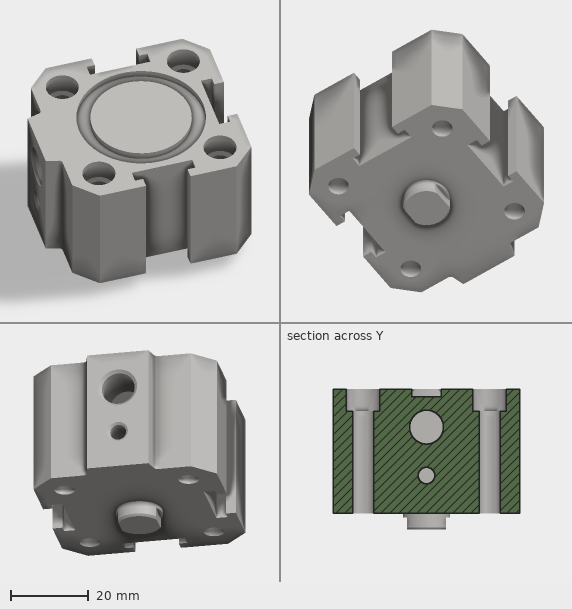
import cadquery as cq
import math

BODY_WIDTH = 48.0
BODY_HEIGHT = 32.0
CORNER_CHAMFER = 5.65

OVERALL_DEPTH = 52
BOSS_DEPTH = OVERALL_DEPTH - BODY_WIDTH
BOSS_FACE_WIDTH = 16.0
BOSS_DRAFT_ANGLE = 15
BOSS_FILLET = 1.0

SLOT_MOUTH_WIDTH = 11.9
SLOT_INNER_WIDTH = 16.2
SLOT_LIP = 2.6
SLOT_DEPTH = 5.5

MOUNT_SPACING = 32.45
MOUNT_DIAMETER = 5.3
COUNTERBORE_DIAMETER = 8.5
COUNTERBORE_DEPTH = 5.6

RECESS_OUTER_DIAMETER = 33.3
RECESS_INNER_DIAMETER = 26
RECESS_DEPTH = 2.0

PORT_END_OFFSET = 9.8
LARGE_PORT_DIAMETER = 8.6
LARGE_PORT_CHAMFER = 0.8
SMALL_PORT_DIAMETER = 4.15
SMALL_PORT_CHAMFER = 0.55
PORT_DEPTH = 12.0

ROD_DIAMETER = 12.0
ROD_PROTRUSION = 4.0
ROD_SEAT_DEPTH = BODY_HEIGHT / 2
ROD_TIP_CHAMFER = 0.5
ROD_COLLAR = 1.0
ROD_ACROSS_FLATS = 10.0

HALF_WIDTH = BODY_WIDTH / 2
BOSS_FACE_Y = -HALF_WIDTH - BOSS_DEPTH


def make_block():
    """Square block with chamfered corners."""
    block = cq.Workplane("XY").rect(BODY_WIDTH, BODY_WIDTH).extrude(BODY_HEIGHT)
    return block.edges("|Z").chamfer(CORNER_CHAMFER)


def add_boss(body):
    """Tapered port boss, with fillets where its flanks meet the block."""
    half_face = BOSS_FACE_WIDTH / 2
    half_root = half_face + BOSS_DEPTH * math.tan(math.radians(BOSS_DRAFT_ANGLE))
    boss = (
        cq.Workplane("XY")
        .polyline([
            (-half_face, BOSS_FACE_Y),
            (half_face, BOSS_FACE_Y),
            (half_root, -HALF_WIDTH),
            (half_root, 0),
            (-half_root, 0),
            (-half_root, -HALF_WIDTH),
        ])
        .close()
        .extrude(BODY_HEIGHT)
    )
    body = body.union(boss)
    for x in (-half_root, half_root):
        root_point = (x, -HALF_WIDTH, BODY_HEIGHT / 2)
        body = body.edges(cq.selectors.NearestToPointSelector(root_point)).fillet(BOSS_FILLET)
    return body


def make_slot():
    """T-slot cutter that opens towards +Y."""
    mouth = (
        cq.Workplane("XY")
        .center(0, HALF_WIDTH - SLOT_DEPTH / 2)
        .rect(SLOT_MOUTH_WIDTH, SLOT_DEPTH)
        .extrude(BODY_HEIGHT)
    )
    inner = (
        cq.Workplane("XY")
        .center(0, HALF_WIDTH - (SLOT_LIP + SLOT_DEPTH) / 2)
        .rect(SLOT_INNER_WIDTH, SLOT_DEPTH - SLOT_LIP)
        .extrude(BODY_HEIGHT)
    )
    return mouth.union(inner)


def cut_slots(body):
    slot = make_slot()
    for angle in (-90, 0, 90):
        body = body.cut(slot.rotate((0, 0, 0), (0, 0, 1), angle))
    return body


def cut_mounting_holes(body):
    return (
        body.faces(">Z")
        .workplane(origin=(0, 0, BODY_HEIGHT))
        .rect(MOUNT_SPACING, MOUNT_SPACING, forConstruction=True)
        .vertices()
        .cboreHole(MOUNT_DIAMETER, COUNTERBORE_DIAMETER, COUNTERBORE_DEPTH)
    )


def cut_recess(body):
    ring = (
        cq.Workplane("XY")
        .workplane(offset=BODY_HEIGHT - RECESS_DEPTH)
        .circle(RECESS_OUTER_DIAMETER / 2)
        .circle(RECESS_INNER_DIAMETER / 2)
        .extrude(RECESS_DEPTH)
    )
    return body.cut(ring)


def make_port(diameter, chamfer, z):
    """Blind port cutter with a 45 degree countersunk mouth, running along +Y."""
    radius = diameter / 2
    return (
        cq.Workplane("XY")
        .polyline([
            (0, 0),
            (radius + chamfer, 0),
            (radius, chamfer),
            (radius, PORT_DEPTH),
            (0, PORT_DEPTH),
        ])
        .close()
        .revolve(360, (0, 0), (0, 1))
        .translate((0, BOSS_FACE_Y, z))
    )


def make_rod():
    """Round rod with a chamfered tip and two wrench flats facing +X and -X."""
    rod = (
        cq.Workplane("XY")
        .workplane(offset=-ROD_PROTRUSION)
        .circle(ROD_DIAMETER / 2)
        .extrude(ROD_PROTRUSION + ROD_SEAT_DEPTH)
        .faces("<Z")
        .chamfer(ROD_TIP_CHAMFER)
    )
    flats = (
        cq.Workplane("XY")
        .workplane(offset=-ROD_PROTRUSION)
        .rect(2 * ROD_DIAMETER, 2 * ROD_DIAMETER)
        .rect(ROD_ACROSS_FLATS, 2 * ROD_DIAMETER)
        .extrude(ROD_PROTRUSION - ROD_COLLAR)
    )
    return rod.cut(flats)


def make_housing():
    housing = add_boss(make_block())
    housing = cut_slots(housing)
    housing = cut_mounting_holes(housing)
    housing = cut_recess(housing)
    large_port_z = BODY_HEIGHT - PORT_END_OFFSET
    housing = housing.cut(make_port(LARGE_PORT_DIAMETER, LARGE_PORT_CHAMFER, large_port_z))
    housing = housing.cut(make_port(SMALL_PORT_DIAMETER, SMALL_PORT_CHAMFER, PORT_END_OFFSET))
    rod_seat = cq.Workplane("XY").circle(ROD_DIAMETER / 2).extrude(ROD_SEAT_DEPTH)
    return housing.cut(rod_seat)


housing = make_housing()
rod = make_rod()
result = cq.Compound.makeCompound([housing.val(), rod.val()])